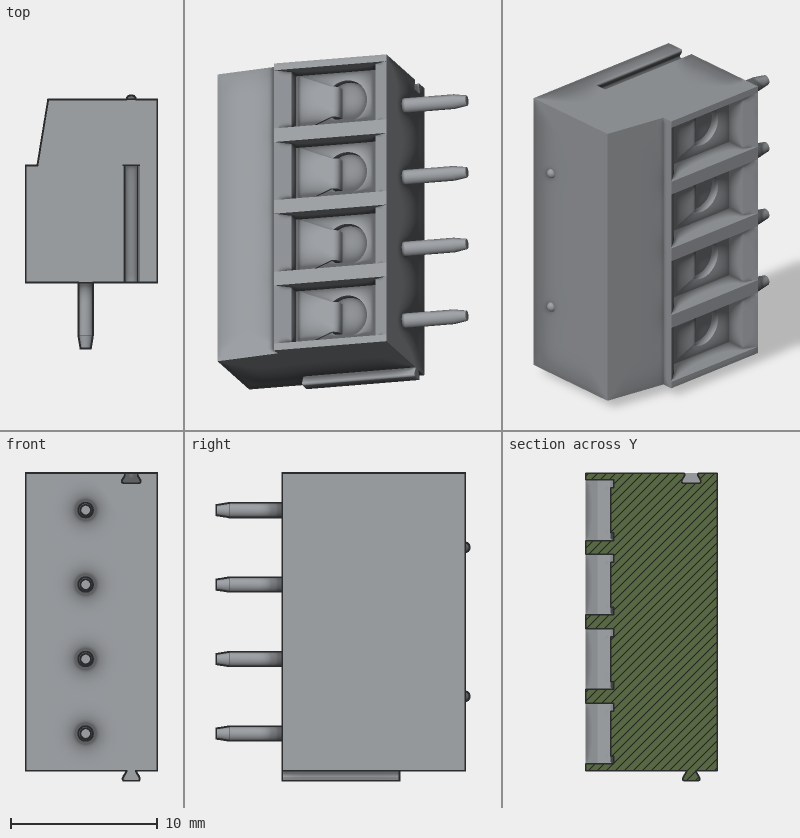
import cadquery as cq
import math


pole_count = 4
tail_height = 0.7
body_height = 21 - tail_height
pitch = body_height / pole_count
body_width = 9.0
body_length = 12.5
shoulder_y = 8.0
shoulder_depth = 0.8
back_depth = 1.53

dovetail_x = 7.2
flank_angle = math.radians(30)
tail_neck = 0.6
tail_rounding = 0.15
groove_neck = 0.67
groove_depth = 0.7
groove_rounding = 0.13

rib = 0.97
cell_height = pitch - rib
floor_x = 1.9
front_wall_y = 0.92
front_wall_x = 0.48
back_wall_y = 7.02
back_wall_x = 0.82

hole_y = 3.42
hole_radius = 1.47
hole_floor_x = 2.5

leaf_x = 1.7
leaf_flat_back_y = 6.5
leaf_flat_front_y = 4.43
leaf_back_radius = 0.4
bend_radius = 0.48
bend_angle = math.radians(80)
tongue_width = 2.12

pin_x = 4.1
pin_radius = 0.5
pin_tip_radius = 0.35
pin_length = 4.5
pin_straight_length = 3.6

bump_radius = 0.34
bump_height = 0.3


def pole_z(index):
    """Centre height of a pole, counted from the bottom."""
    return (index + 0.5) * pitch


def make_housing():
    outline = [
        (0, 0),
        (body_width, 0),
        (body_width, body_length),
        (back_depth, body_length),
        (shoulder_depth, shoulder_y),
        (0, shoulder_y),
    ]
    return cq.Workplane("XY").polyline(outline).close().extrude(body_height)


def dovetail(neck, height, top_z):
    """Sharp dovetail bar, narrow at top_z and widening downward."""
    half_neck = neck / 2
    half_base = half_neck + height * math.tan(flank_angle)
    outline = [
        (dovetail_x - half_neck, top_z),
        (dovetail_x + half_neck, top_z),
        (dovetail_x + half_base, top_z - height),
        (dovetail_x - half_base, top_z - height),
    ]
    return cq.Workplane("XZ").polyline(outline).close().extrude(-shoulder_y)


def make_tail():
    return dovetail(tail_neck, tail_height, 0).edges("|Y and <Z").fillet(tail_rounding)


def cut_groove(body):
    groove = dovetail(groove_neck, groove_depth, body_height)
    groove = groove.edges("|Y and <Z").fillet(groove_rounding)
    body = body.cut(groove)
    half_neck = groove_neck / 2
    for side in (-1, 1):
        lip = cq.selectors.NearestToPointSelector(
            (dovetail_x + side * half_neck, shoulder_y / 2, body_height)
        )
        body = body.edges(lip).fillet(groove_rounding)
    return body


def make_cell(z):
    """Volume removed for one wire entry: flared recess and round hole."""
    outline = [
        (0, 0),
        (front_wall_x, front_wall_y),
        (floor_x, front_wall_y),
        (floor_x, back_wall_y),
        (back_wall_x, back_wall_y),
        (0, shoulder_y),
    ]
    recess = (
        cq.Workplane("XY", origin=(0, 0, z - cell_height / 2))
        .polyline(outline)
        .close()
        .extrude(cell_height)
    )
    hole = (
        cq.Workplane("YZ", origin=(leaf_x, hole_y, z))
        .circle(hole_radius)
        .extrude(hole_floor_x - leaf_x)
    )
    return recess.union(hole)


def bend_point(angle):
    """Point on the front bend of the leaf after turning through the angle."""
    x = leaf_x + bend_radius * (1 - math.cos(angle))
    y = leaf_flat_front_y - bend_radius * math.sin(angle)
    return x, y


def make_leaf(z):
    """Leaf with rounded ends, tapering from the cell height to the tongue width."""
    back_y = leaf_flat_back_y + leaf_back_radius
    bend_end_x, bend_end_y = bend_point(bend_angle)
    tongue_y = bend_end_y - (hole_floor_x - bend_end_x) / math.tan(bend_angle)
    diagonal = math.sqrt(0.5)
    back_middle = (
        leaf_x + leaf_back_radius * (1 - diagonal),
        leaf_flat_back_y + leaf_back_radius * diagonal,
    )
    profile = (
        cq.Workplane("XY", origin=(0, 0, z - cell_height / 2))
        .moveTo(leaf_x, leaf_flat_front_y)
        .lineTo(leaf_x, leaf_flat_back_y)
        .threePointArc(back_middle, (leaf_x + leaf_back_radius, back_y))
        .lineTo(hole_floor_x, back_y)
        .lineTo(hole_floor_x, tongue_y)
        .lineTo(bend_end_x, bend_end_y)
        .threePointArc(bend_point(bend_angle / 2), (leaf_x, leaf_flat_front_y))
        .close()
        .extrude(cell_height)
    )
    half_tongue = tongue_width / 2
    half_cell = cell_height / 2
    plan = [
        (tongue_y, -half_tongue),
        (leaf_flat_front_y, -half_tongue),
        (back_y, -half_cell),
        (back_y, half_cell),
        (leaf_flat_front_y, half_tongue),
        (tongue_y, half_tongue),
    ]
    blank = cq.Workplane("YZ", origin=(0, 0, z)).polyline(plan).close().extrude(hole_floor_x)
    return profile.intersect(blank)


def make_pin(z):
    """Round pin with a conical tip, pointing to -Y."""
    half_profile = [
        (0, 0),
        (-pin_radius, 0),
        (-pin_radius, -pin_straight_length),
        (-pin_tip_radius, -pin_length),
        (0, -pin_length),
    ]
    return (
        cq.Workplane("XY", origin=(pin_x, 0, z))
        .polyline(half_profile)
        .close()
        .revolve(360, (0, 0, 0), (0, 1, 0))
    )


def make_bump(z):
    """Shallow ball standing out of the back face."""
    ball_radius = (bump_radius**2 + bump_height**2) / (2 * bump_height)
    centre_y = body_length + bump_height - ball_radius
    return cq.Workplane("XY").sphere(ball_radius).translate((dovetail_x, centre_y, z))


result = cut_groove(make_housing()).union(make_tail())

for index in range(pole_count):
    z = pole_z(index)
    result = result.cut(make_cell(z)).union(make_leaf(z)).union(make_pin(z))

for joint in range(1, pole_count, 2):
    result = result.union(make_bump(joint * pitch))